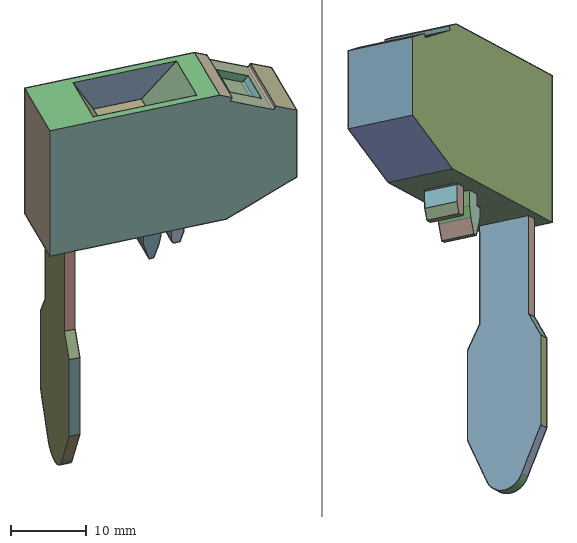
import cadquery as cq
import math

housing_width = 10.1
housing_length = 34.7
housing_height = 20.7
back_bottom_z = 4.5
back_top_z = 15.5
bottom_bevel_y = 24.8
top_bevel_y = 23.85

channel_front_y = 25.6
channel_back_y = 31.7
channel_depth = 0.6
channel_root_radius = 0.25
label_pocket_width = 5.35
label_pocket_front_y = 26.35
label_pocket_back_y = 30.95
label_pocket_depth = 1.1
label_pocket_wall_lean = 15
label_pocket_root_radius = 0.35

hopper_width = 8.0
hopper_depth = 5.05
hopper_front_y = 6.45
hopper_floor_front_y = 9.3
hopper_floor_back_y = 16.05
hopper_back_y = 21.0

foot_width = 5.05
foot_root_flare = 0.2

locating_back_y = 19.7
locating_front_y = 18.0
locating_taper_z = -2.6
locating_tip_z = -4.1
locating_tip_back_y = 19.15
locating_tip_chamfer_y = 0.25
locating_tip_chamfer_z = 0.35
latch_back_y = 16.5
latch_bend_top_z = -2.2
latch_bend_y = 16.25
latch_bend_z = -3.75
latch_tip_back_y = 15.45
latch_tip_front_y = 14.8
latch_tip_z = -5.85
latch_front_y = 14.7
latch_hook_y = 14.0
latch_hook_top_z = -1.65
latch_hook_bottom_z = -3.2

total_height = 58.6
blade_length = total_height - housing_height
blade_thickness = 1.5
blade_front_y = 2.45
neck_width = 7.7
blade_width = 11.5
neck_end_z = -13.85
shoulder_z = -17.15
taper_start_z = -29.8
tip_arc_z = -36.1
tip_arc_width = 5.5

slope_angle = math.atan2(housing_height - back_top_z, housing_length - top_bevel_y)


def extrude_across(points, width):
    """Extrude a closed (Y, Z) outline symmetrically about X = 0."""
    return cq.Workplane("YZ").polyline(points).close().extrude(width / 2, both=True)


def slope_point(y, depth=0.0):
    """(Y, Z) of the spot reached by sinking square to the top slope from its surface at y."""
    surface_z = housing_height - (y - top_bevel_y) * math.tan(slope_angle)
    return (y - depth * math.sin(slope_angle), surface_z - depth * math.cos(slope_angle))


def slope_cutter(front_y, back_y, depth, width, root_radius, back_lean=0.0):
    """Box cutter sunk square to the top slope, rounded where its back wall meets its floor.

    The back wall leans outward by back_lean degrees.
    """
    lean_run = depth * math.tan(math.radians(back_lean))
    root_y, root_z = slope_point(back_y - lean_run * math.cos(slope_angle), depth)
    outline = [
        slope_point(front_y),
        slope_point(back_y),
        (root_y, root_z),
        slope_point(front_y, depth),
    ]
    box = extrude_across(outline, width)
    root_edge = cq.selectors.NearestToPointSelector((0, root_y, root_z))
    return box.edges(root_edge).fillet(root_radius)


def make_shell():
    outline = [
        (0, 0),
        (bottom_bevel_y, 0),
        (housing_length, back_bottom_z),
        (housing_length, back_top_z),
        (top_bevel_y, housing_height),
        (0, housing_height),
    ]
    return extrude_across(outline, housing_width)


def make_hopper():
    floor_z = housing_height - hopper_depth
    outline = [
        (hopper_front_y, housing_height),
        (hopper_floor_front_y, floor_z),
        (hopper_floor_back_y, floor_z),
        (hopper_back_y, housing_height),
    ]
    return extrude_across(outline, hopper_width)


def make_locating_foot():
    outline = [
        (locating_back_y + foot_root_flare, 0),
        (locating_back_y, -foot_root_flare),
        (locating_back_y, locating_taper_z),
        (locating_tip_back_y, locating_tip_z),
        (locating_front_y + locating_tip_chamfer_y, locating_tip_z),
        (locating_front_y, locating_tip_z + locating_tip_chamfer_z),
        (locating_front_y, 0),
    ]
    return extrude_across(outline, foot_width)


def make_latch_foot():
    outline = [
        (latch_back_y, 0),
        (latch_back_y, latch_bend_top_z),
        (latch_bend_y, latch_bend_z),
        (latch_tip_back_y, latch_tip_z),
        (latch_tip_front_y, latch_tip_z),
        (latch_hook_y, latch_hook_bottom_z),
        (latch_hook_y, latch_hook_top_z),
        (latch_front_y, latch_hook_top_z),
        (latch_front_y, -foot_root_flare),
        (latch_front_y - foot_root_flare, 0),
    ]
    return extrude_across(outline, foot_width)


def make_housing():
    pocket_depth = channel_depth + label_pocket_depth
    channel = slope_cutter(
        channel_front_y, channel_back_y, channel_depth, housing_width, channel_root_radius
    )
    label_pocket = slope_cutter(
        label_pocket_front_y,
        label_pocket_back_y,
        pocket_depth,
        label_pocket_width,
        label_pocket_root_radius,
        label_pocket_wall_lean,
    )
    body = make_shell().cut(channel).cut(label_pocket).cut(make_hopper())
    return body.union(make_locating_foot()).union(make_latch_foot())


def make_blade():
    return (
        cq.Workplane("XZ", origin=(0, blade_front_y, 0))
        .moveTo(-neck_width / 2, 0)
        .lineTo(-neck_width / 2, neck_end_z)
        .lineTo(-blade_width / 2, shoulder_z)
        .lineTo(-blade_width / 2, taper_start_z)
        .lineTo(-tip_arc_width / 2, tip_arc_z)
        .threePointArc((0, -blade_length), (tip_arc_width / 2, tip_arc_z))
        .lineTo(blade_width / 2, taper_start_z)
        .lineTo(blade_width / 2, shoulder_z)
        .lineTo(neck_width / 2, neck_end_z)
        .lineTo(neck_width / 2, 0)
        .close()
        .extrude(-blade_thickness)
    )


housing = make_housing()
blade = make_blade()
result = cq.Compound.makeCompound([housing.val(), blade.val()])